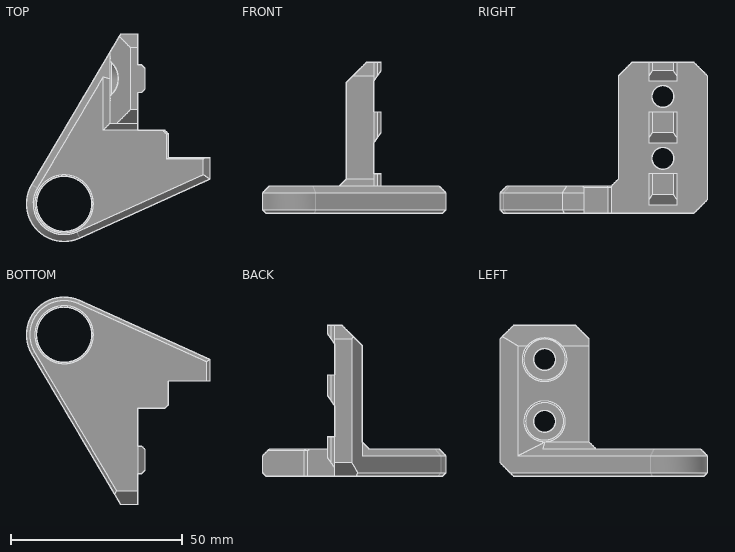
import cadquery as cq
import math


plate_thickness = 8.0
eye_radius = 11.0
eye_bore_diameter = 16.0
eye_bore_chamfer = 0.5
plate_end_x = 42.5
plate_end_y = 7.2
step_x = 30.35
step_y = 13.5
top_chamfer = 2.0
bottom_chamfer = 1.0
step_chamfer = 0.5
step_corner_chamfer = 1.0

wall_height = 44.0
wall_outer_x = 21.45
wall_thickness = 8.1
wall_width = 26.0
wall_end_y = 49.45
wall_corner_x = 16.45
wall_corner_chamfer = 4.0
wall_top_slope = 6.0
foot_size = 2.0

screw_diameter = 6.3
screw_pitch = 18.0
lower_screw_z = 16.0
lower_recess_diameter = 11.0
upper_recess_diameter = 12.0
recess_depth = 3.0
recess_chamfer = 0.5

tab_width = 8.1
tab_projection = 2.1
tab_tip_height = 6.05
tab_root_height = 9.1
tab_corner_chamfer = 1.0
tab_embedding = 1.2
lowest_tab_top_z = 11.55
tab_count = 3

wall_inner_x = wall_outer_x - wall_thickness
wall_start_y = wall_end_y - wall_width
wall_middle_y = wall_end_y - wall_width / 2
foot_start_y = wall_start_y - foot_size
overrun = 12.1
margin = 0.6


def tangent_angle(x, y, side):
    """Angle on the eye circle where a line through (x, y) touches it."""
    return math.atan2(y, x) + side * math.acos(eye_radius / math.hypot(x, y))


def on_eye(angle):
    return eye_radius * math.cos(angle), eye_radius * math.sin(angle)


def make_outline():
    """Outline bounded by the two flanks, the eye and the plate end."""
    upper_angle = tangent_angle(wall_corner_x, wall_end_y, 1)
    lower_angle = tangent_angle(plate_end_x, plate_end_y, -1)
    upper_touch = on_eye(upper_angle)
    lower_touch = on_eye(lower_angle)
    arc_middle = on_eye((upper_angle + lower_angle) / 2 + math.pi)
    far_y = wall_end_y + overrun
    far_x = wall_corner_x - overrun * math.tan(upper_angle)
    return (
        cq.Workplane("XY")
        .moveTo(*upper_touch)
        .threePointArc(arc_middle, lower_touch)
        .lineTo(plate_end_x, plate_end_y)
        .lineTo(plate_end_x, far_y)
        .lineTo(far_x, far_y)
        .close()
    )


def make_plate():
    """Plate with the eye and the stepped side, not yet trimmed to the flanks."""
    corner = step_corner_chamfer
    plate = (
        cq.Workplane("XY")
        .moveTo(-eye_radius, -eye_radius)
        .lineTo(plate_end_x, -eye_radius)
        .lineTo(plate_end_x, step_y)
        .lineTo(step_x, step_y)
        .lineTo(step_x, foot_start_y - corner)
        .lineTo(step_x - corner, foot_start_y)
        .lineTo(wall_outer_x, foot_start_y)
        .lineTo(wall_outer_x, wall_end_y)
        .lineTo(-eye_radius, wall_end_y)
        .close()
        .extrude(plate_thickness)
    )
    step_edges = cq.selectors.BoxSelector(
        (step_x - corner, step_y - margin, plate_thickness - margin),
        (plate_end_x, foot_start_y, plate_thickness + margin),
    )
    return plate.edges(step_edges).chamfer(step_chamfer)


def make_foot():
    """Block under the wall with a 45 degree slope along its two free sides."""
    return (
        cq.Workplane("XY")
        .box(
            wall_thickness + foot_size,
            wall_width + foot_size,
            plate_thickness + foot_size,
            centered=False,
        )
        .translate((wall_inner_x - foot_size, foot_start_y, 0))
        .faces(">Z")
        .edges("<X or <Y")
        .chamfer(foot_size)
    )


def make_wall():
    """Upright wall, sloped at the top of its inner face."""
    return (
        cq.Workplane("XZ", origin=(0, wall_start_y, 0))
        .moveTo(wall_inner_x, 0)
        .lineTo(wall_outer_x, 0)
        .lineTo(wall_outer_x, wall_height)
        .lineTo(wall_inner_x + wall_top_slope, wall_height)
        .lineTo(wall_inner_x, wall_height - wall_top_slope)
        .close()
        .extrude(-wall_width)
    )


def make_side_profile():
    """Side outline of the part along Y, with the corners of the wall cut off."""
    cut = wall_corner_chamfer
    return (
        cq.Workplane("YZ", origin=(-eye_radius, 0, 0))
        .moveTo(-eye_radius, 0)
        .lineTo(wall_end_y - cut, 0)
        .lineTo(wall_end_y, cut)
        .lineTo(wall_end_y, wall_height - cut)
        .lineTo(wall_end_y - cut, wall_height)
        .lineTo(wall_start_y + cut, wall_height)
        .lineTo(wall_start_y, wall_height - cut)
        .lineTo(wall_start_y, plate_thickness + foot_size)
        .lineTo(foot_start_y, plate_thickness)
        .lineTo(-eye_radius, plate_thickness)
        .close()
        .extrude(eye_radius + plate_end_x)
    )


def make_tab(top_z):
    """Tab with bevelled sides and a sloping underside."""
    tip_x = wall_outer_x + tab_projection
    tab_back_x = wall_outer_x - tab_embedding
    tab = (
        cq.Workplane("XZ", origin=(0, wall_middle_y, 0))
        .moveTo(tab_back_x, top_z)
        .lineTo(tip_x, top_z)
        .lineTo(tip_x, top_z - tab_tip_height)
        .lineTo(wall_outer_x, top_z - tab_root_height)
        .lineTo(tab_back_x, top_z - tab_root_height)
        .close()
        .extrude(tab_width / 2, both=True)
    )
    return tab.faces(">X").edges("|Z").chamfer(tab_corner_chamfer)


def add_screw_hole(part, z, recess_diameter):
    """Through hole with a recess in the inner face of the wall, chamfered all round its mouth."""
    inner_face = cq.Workplane("YZ", origin=(wall_inner_x, wall_middle_y, z))
    hole = inner_face.circle(screw_diameter / 2).extrude(wall_thickness)
    recess = inner_face.circle(recess_diameter / 2).extrude(recess_depth)
    reach = recess_diameter / 2 + recess_chamfer
    mouth = cq.selectors.BoxSelector(
        (wall_inner_x - margin, wall_middle_y - reach, z - reach),
        (wall_inner_x + recess_depth - recess_chamfer, wall_middle_y + reach, z + reach),
        boundingbox=True,
    )
    return part.cut(hole).cut(recess).edges(mouth).chamfer(recess_chamfer)


flank_height = plate_thickness - top_chamfer
flank_chamfer = top_chamfer + foot_size
low_envelope = (
    make_outline()
    .extrude(flank_height + flank_chamfer)
    .faces(">Z")
    .chamfer(flank_chamfer)
)
tall_envelope = make_outline().extrude(wall_height).faces("<Z").chamfer(bottom_chamfer)

base = make_plate().union(make_foot()).intersect(low_envelope)
body = base.union(make_wall()).intersect(tall_envelope).intersect(make_side_profile())

eye_bore = (
    cq.Workplane("XY")
    .circle(eye_bore_diameter / 2)
    .extrude(plate_thickness)
)
eye_rim = (
    cq.Workplane("XY")
    .circle(eye_bore_diameter / 2 + eye_bore_chamfer)
    .workplane(offset=eye_bore_chamfer)
    .circle(eye_bore_diameter / 2)
    .loft()
)
eye_rim_top = eye_rim.mirror("XY").translate((0, 0, plate_thickness))
body = body.cut(eye_bore).cut(eye_rim).cut(eye_rim_top)

below_wall_top = cq.Workplane("XY").box(
    plate_end_x, wall_end_y, wall_height, centered=False
)
for index in range(tab_count):
    tab = make_tab(lowest_tab_top_z + index * screw_pitch)
    body = body.union(tab.intersect(below_wall_top))

body = add_screw_hole(body, lower_screw_z, lower_recess_diameter)
body = add_screw_hole(body, lower_screw_z + screw_pitch, upper_recess_diameter)

result = body